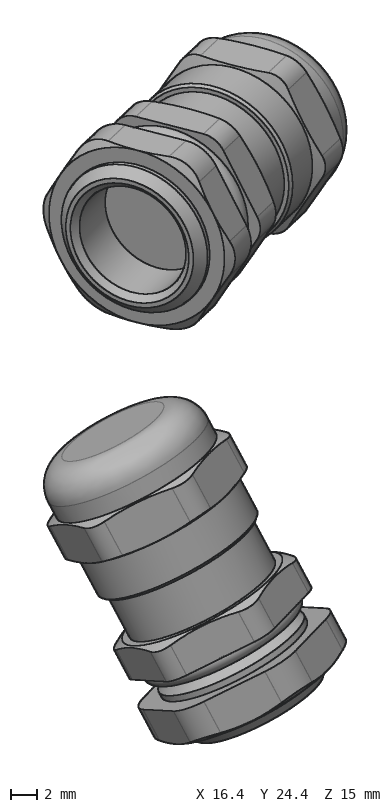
import cadquery as cq
import math

LENGTH = 24.4

body_radius = 12.5 / 2
chamfered_radius = 10.9 / 2
thread_chamfer = body_radius - chamfered_radius
thread_top = 5.52

ring_radius = 6.79
ring_rounding = 0.75

cap_radius = 13.7 / 2
cap_bottom = 13.43
cap_edge_chamfer = 0.22
dome_rounding = 2.5

locknut_bottom = 1.17
locknut_top = 4.2
locknut_flats = 15.0
locknut_corner_rounding = 3.0
body_hex_bottom = 6.52
body_hex_top = 9.52
cap_hex_bottom = 16.9
cap_hex_top = 20.43
gland_hex_flats = 14.0
gland_corner_rounding = 2.0

nut_bevel_angle = 30.0
body_hex_bevel_angle = 25.0
cap_hex_bevel_angle = 20.0

bore_radius = 9.1 / 2
mouth_radius = 10.13 / 2
mouth_depth = mouth_radius - bore_radius
bore_depth = 4.74


def revolve_profile(profile):
    """Turn a closed (radius, Y) profile about the Y axis."""
    return profile.close().revolve(360, (0, 0, 0), (0, 1, 0))


def cylinder(radius, bottom, top):
    profile = cq.Workplane("XY").moveTo(0, bottom).lineTo(radius, bottom).lineTo(radius, top).lineTo(0, top)
    return revolve_profile(profile)


def hexagon(bottom, top, flats, rounding, bevel_angle, bevel_radius, bevel_bottom, bevel_top):
    """Hexagon with rounded corners along X and conical bevels on the chosen ends."""
    corner_radius = flats / 2 / math.cos(math.radians(30))
    prism = (
        cq.Workplane("XZ", origin=(0, bottom, 0))
        .polygon(6, 2 * corner_radius)
        .extrude(bottom - top)
        .edges("|Y")
        .fillet(rounding)
    )
    rise = (corner_radius - bevel_radius) * math.tan(math.radians(bevel_angle))
    envelope = cq.Workplane("XY").moveTo(0, bottom)
    if bevel_bottom:
        envelope = envelope.lineTo(bevel_radius, bottom).lineTo(corner_radius, bottom + rise)
    else:
        envelope = envelope.lineTo(corner_radius, bottom)
    if bevel_top:
        envelope = envelope.lineTo(corner_radius, top - rise).lineTo(bevel_radius, top)
    else:
        envelope = envelope.lineTo(corner_radius, top)
    return prism.intersect(revolve_profile(envelope.lineTo(0, top)))


def make_ring():
    """Ring with one round outer face that curves back in again just below the body hexagon."""
    center_radius = ring_radius - ring_rounding
    center_y = thread_top + ring_rounding
    rise = body_hex_bottom - center_y
    mid_angle = (math.asin(rise / ring_rounding) - math.pi / 2) / 2
    profile = (
        cq.Workplane("XY")
        .moveTo(0, thread_top)
        .lineTo(center_radius, thread_top)
        .threePointArc(
            (
                center_radius + ring_rounding * math.cos(mid_angle),
                center_y + ring_rounding * math.sin(mid_angle),
            ),
            (center_radius + math.sqrt(ring_rounding**2 - rise**2), body_hex_bottom),
        )
        .lineTo(0, body_hex_bottom)
    )
    return revolve_profile(profile)


def make_bore():
    profile = (
        cq.Workplane("XY")
        .lineTo(mouth_radius, 0)
        .lineTo(bore_radius, mouth_depth)
        .lineTo(bore_radius, bore_depth)
        .lineTo(0, bore_depth)
    )
    return revolve_profile(profile)


thread = cylinder(body_radius, 0, thread_top).edges().chamfer(thread_chamfer)
ring = make_ring()
barrel = cylinder(body_radius, body_hex_bottom, cap_bottom)
cap = (
    cylinder(cap_radius, cap_bottom, LENGTH)
    .faces(">Y").edges().fillet(dome_rounding)
    .faces("<Y").edges().chamfer(cap_edge_chamfer)
)

locknut = hexagon(
    locknut_bottom, locknut_top, locknut_flats, locknut_corner_rounding,
    nut_bevel_angle, locknut_flats / 2, bevel_bottom=True, bevel_top=False,
)
body_hex = hexagon(
    body_hex_bottom, body_hex_top, gland_hex_flats, gland_corner_rounding,
    body_hex_bevel_angle, cap_radius, bevel_bottom=False, bevel_top=True,
)
cap_hex = hexagon(
    cap_hex_bottom, cap_hex_top, gland_hex_flats, gland_corner_rounding,
    cap_hex_bevel_angle, cap_radius, bevel_bottom=True, bevel_top=True,
)

result = thread
for section in (locknut, ring, body_hex, barrel, cap, cap_hex):
    result = result.union(section)
result = result.cut(make_bore())